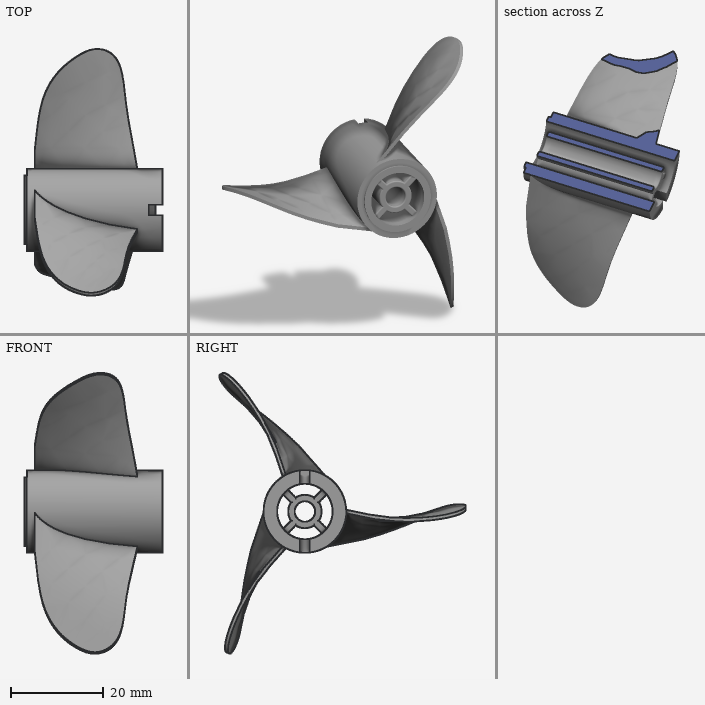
import cadquery as cq

hub_length = 30.0
hub_radius = 9.0
lip_radius = 7.5
lip_length = 0.5
bore_radius = 6.0

core_recess = 1.5
core_length = hub_length - 2 * core_recess
core_radius = 3.65
shaft_radius = 2.2
spoke_count = 4
spoke_width = 1.5
first_spoke_angle = 45.0
core_edge_round = 0.3
spoke_overlap = 0.5
spoke_reach = bore_radius + spoke_overlap

slot_width = 2.2
slot_depth = 3.0

blade_count = 3
blade_thickness = 0.8
blade_camber = 0.95
sheet_front = 1.7
sheet_back = 25.0
blade_sections = [
    (3.0, -8.3, 0.55),
    (12.0, -6.45, -0.95),
    (20.0, -4.05, -2.35),
    (28.0, -0.7, -2.65),
    (36.0, 2.25, -2.05),
]
leading_edge_x = 2.2
trailing_root_x = 24.8
root_span = 4.0
trailing_root_span = 7.4
leading_straight_end = 13.0
planform_reach = 2 * hub_radius
tip_outline = [
    (3.27, 21.2),
    (4.73, 26.0),
    (7.55, 30.2),
    (11.3, 33.3),
    (15.6, 35.0),
    (18.6, 34.2),
    (20.3, 32.3),
    (21.3, 29.3),
    (22.1, 23.0),
    (23.25, 16.1),
    (trailing_root_x, trailing_root_span),
]
root_radius = (hub_radius + bore_radius) / 2


def cylinder(start_x, length, radius):
    return cq.Workplane("YZ", origin=(start_x, 0, 0)).circle(radius).extrude(length)


def make_hub():
    lip = cylinder(0, lip_length, lip_radius)
    body = cylinder(lip_length, hub_length - lip_length, hub_radius)
    bore = cylinder(0, hub_length, bore_radius)
    slot = cq.Workplane("XY").box(2 * slot_depth, slot_width, 2 * hub_radius)
    return lip.union(body).cut(bore).cut(slot.translate((hub_length, 0, 0)))


def make_core():
    core = cylinder(core_recess, core_length, core_radius)
    spoke = cq.Workplane("XY").box(core_length, spoke_reach, spoke_width)
    spoke = spoke.translate((hub_length / 2, spoke_reach / 2, 0))
    for index in range(spoke_count):
        angle = first_spoke_angle + index * 360.0 / spoke_count
        core = core.union(spoke.rotate((0, 0, 0), (1, 0, 0), angle))
    core = core.cut(cylinder(0, hub_length, shaft_radius))
    core = core.intersect(cylinder(0, hub_length, spoke_reach))
    return core.faces("<X or >X").edges().fillet(core_edge_round)


def blade_section(span, front_height, back_height):
    middle_x = (sheet_front + sheet_back) / 2
    middle_height = (front_height + back_height) / 2 + blade_camber
    section = (
        cq.Workplane("XZ", origin=(0, span, 0))
        .moveTo(sheet_front, front_height)
        .threePointArc((middle_x, middle_height), (sheet_back, back_height))
        .lineTo(sheet_back, back_height + blade_thickness)
        .threePointArc(
            (middle_x, middle_height + blade_thickness),
            (sheet_front, front_height + blade_thickness),
        )
        .close()
    )
    return section.val()


def make_blade():
    wires = [blade_section(*values) for values in blade_sections]
    sheet = cq.Workplane("XY").add(cq.Solid.makeLoft(wires))
    planform = (
        cq.Workplane("XY", origin=(0, 0, -planform_reach))
        .moveTo(trailing_root_x, root_span)
        .lineTo(leading_edge_x, root_span)
        .lineTo(leading_edge_x, leading_straight_end)
        .spline(tip_outline, includeCurrent=True)
        .close()
        .extrude(2 * planform_reach)
    )
    return sheet.intersect(planform).cut(cylinder(0, hub_length, root_radius))


def make_propeller():
    propeller = make_hub().union(make_core())
    blade = make_blade()
    for index in range(blade_count):
        angle = index * 360.0 / blade_count
        propeller = propeller.union(blade.rotate((0, 0, 0), (1, 0, 0), angle))
    return propeller


result = make_propeller()